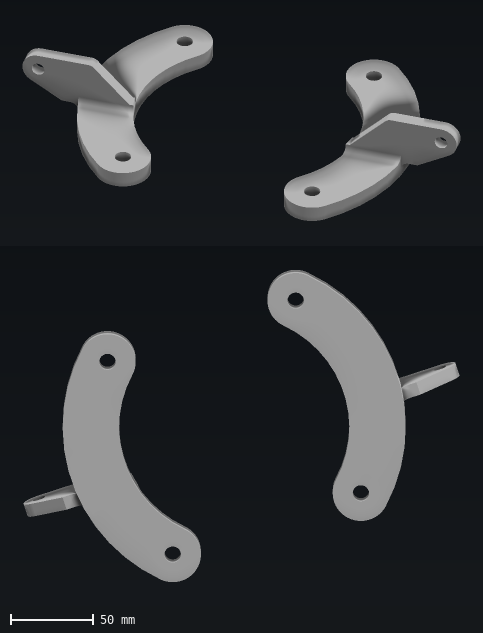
import cadquery as cq
import math

OVERALL_WIDTH = 276.0
PLATE_LENGTH = 159.8
BRACKET_HEIGHT = 40.0

PLATE_THICKNESS = 10.0
MEAN_RADIUS = 87.0
END_RADIUS = 17.0
MOUNT_HOLE_DIAMETER = 10.0
OUTER_RADIUS = MEAN_RADIUS + END_RADIUS
INNER_RADIUS = MEAN_RADIUS - END_RADIUS
END_Y = PLATE_LENGTH / 2 - END_RADIUS
END_X = math.sqrt(MEAN_RADIUS**2 - END_Y**2)

TAB_THICKNESS = 8.0
TAB_Y = -14.0
EYE_RADIUS = 10.0
EYE_HOLE_DIAMETER = 8.0
EYE_X = OVERALL_WIDTH / 2 - EYE_RADIUS
EYE_Z = BRACKET_HEIGHT - EYE_RADIUS
TOP_CORNER_X = 94.0
TOP_CORNER_RADIUS = 5.0
TOE_Z = 16.0
UNDERSIDE_ANGLE = math.radians(30)

ROOT_RADIUS = 5.0
TAB_FRONT_Y = TAB_Y - TAB_THICKNESS / 2
TAB_BACK_Y = TAB_Y + TAB_THICKNESS / 2


def ring(inner_radius, outer_radius, height):
    return cq.Workplane("XY").circle(outer_radius).circle(inner_radius).extrude(height)


def make_plate():
    """Ring segment of constant width with a round, drilled lug at each end."""
    reach = 2 * OUTER_RADIUS
    end_slope = END_Y / END_X
    sector = (
        cq.Workplane("XY")
        .polyline([(0, 0), (reach, -reach * end_slope), (reach, reach * end_slope)])
        .close()
        .extrude(PLATE_THICKNESS)
    )
    ends = [(END_X, -END_Y), (END_X, END_Y)]
    lugs = cq.Workplane("XY").pushPoints(ends).circle(END_RADIUS).extrude(PLATE_THICKNESS)
    holes = cq.Workplane("XY").pushPoints(ends).circle(MOUNT_HOLE_DIAMETER / 2).extrude(PLATE_THICKNESS)
    return ring(INNER_RADIUS, OUTER_RADIUS, PLATE_THICKNESS).intersect(sector).union(lugs).cut(holes)


def make_tab():
    """Upright tab: small flat toe, 45 degree inner slope, flat top, round eye and tapered underside."""
    tangent_x = EYE_X + EYE_RADIUS * math.sin(UNDERSIDE_ANGLE)
    tangent_z = EYE_Z - EYE_RADIUS * math.cos(UNDERSIDE_ANGLE)
    underside_x = tangent_x - (tangent_z - PLATE_THICKNESS) / math.tan(UNDERSIDE_ANGLE)
    slope_foot_x = TOP_CORNER_X - (BRACKET_HEIGHT - TOE_Z)
    outline = (
        cq.Workplane("XZ", origin=(0, TAB_BACK_Y, 0))
        .moveTo(0, PLATE_THICKNESS)
        .lineTo(0, TOE_Z)
        .lineTo(slope_foot_x, TOE_Z)
        .lineTo(TOP_CORNER_X, BRACKET_HEIGHT)
        .lineTo(EYE_X, BRACKET_HEIGHT)
        .threePointArc((EYE_X + EYE_RADIUS, EYE_Z), (tangent_x, tangent_z))
        .lineTo(underside_x, PLATE_THICKNESS)
        .close()
    )
    tab = outline.extrude(TAB_THICKNESS)
    top_corner = cq.selectors.NearestToPointSelector((TOP_CORNER_X, TAB_Y, BRACKET_HEIGHT))
    tab = tab.edges(top_corner).fillet(TOP_CORNER_RADIUS)
    eye_hole = (
        cq.Workplane("XZ", origin=(EYE_X, TAB_BACK_Y, EYE_Z))
        .circle(EYE_HOLE_DIAMETER / 2)
        .extrude(TAB_THICKNESS)
    )
    clearance = cq.Workplane("XY").circle(INNER_RADIUS).extrude(BRACKET_HEIGHT)
    return tab.cut(eye_hole).cut(clearance)


def make_root_fillets():
    """Concave rounds along both faces of the tab, ending flush with the plate edges."""
    root_z = PLATE_THICKNESS
    tip_z = root_z + ROOT_RADIUS
    bow = ROOT_RADIUS * (1 - math.sqrt(0.5))
    fillets = cq.Workplane("XY")
    for face_y, side in ((TAB_FRONT_Y, -1), (TAB_BACK_Y, 1)):
        fillet = (
            cq.Workplane("YZ")
            .moveTo(face_y, root_z)
            .lineTo(face_y + side * ROOT_RADIUS, root_z)
            .threePointArc((face_y + side * bow, root_z + bow), (face_y, tip_z))
            .close()
            .extrude(OUTER_RADIUS)
        )
        fillets = fillets.add(fillet)
    return fillets.combine().intersect(ring(INNER_RADIUS, OUTER_RADIUS, tip_z))


def make_edge_fillet():
    """Concave round between the underside of the tab and the outer edge of the plate."""
    bow = ROOT_RADIUS * (1 - math.sqrt(0.5))
    collar = (
        cq.Workplane("XZ")
        .moveTo(OUTER_RADIUS, PLATE_THICKNESS)
        .lineTo(OUTER_RADIUS + ROOT_RADIUS, PLATE_THICKNESS)
        .threePointArc(
            (OUTER_RADIUS + bow, PLATE_THICKNESS - bow),
            (OUTER_RADIUS, PLATE_THICKNESS - ROOT_RADIUS),
        )
        .close()
        .revolve(360, (0, 0), (0, 1))
    )
    tab_width = cq.Workplane("XY").box(
        OVERALL_WIDTH, TAB_THICKNESS, PLATE_THICKNESS, centered=(False, True, False)
    )
    return collar.intersect(tab_width.translate((0, TAB_Y, 0)))


def make_bracket():
    return make_plate().union(make_tab()).union(make_root_fillets()).union(make_edge_fillet())


right_bracket = make_bracket()
left_bracket = right_bracket.mirror("YZ")

result = cq.Compound.makeCompound([left_bracket.val(), right_bracket.val()])